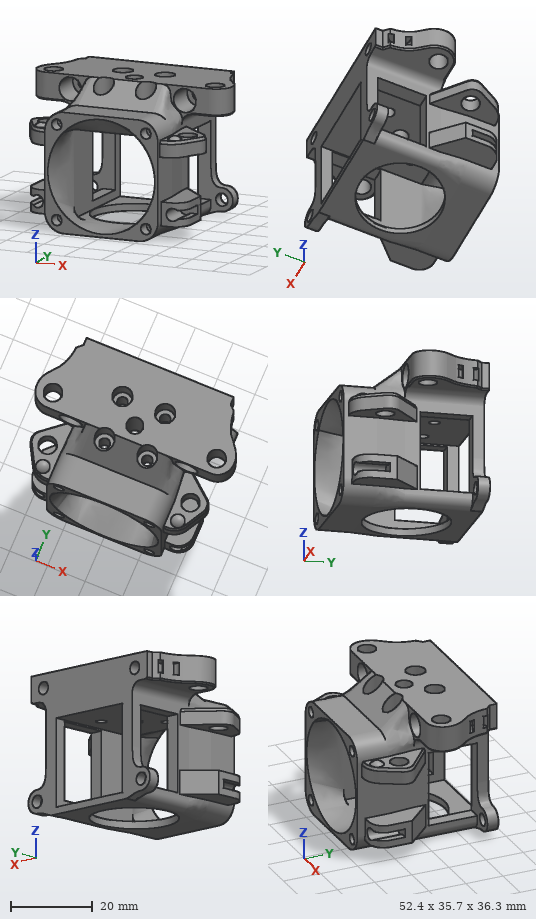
import cadquery as cq
import math


TOTAL_WIDTH = 52.37
TOTAL_DEPTH = 35.65
TOTAL_HEIGHT = 36.25

FAN_SIZE = 30.5
FAN_CENTER_Z = FAN_SIZE / 2
FAN_CORNER_RADIUS = 5.2
FAN_BORE_DIAMETER = 28.8
FLANGE_DEPTH = 8.4
FAN_SCREW_PITCH = 24.0
FAN_SCREW_MOUTH_DIAMETER = 2.7
FAN_SCREW_TIP_DIAMETER = 1.9
FAN_SCREW_STRAIGHT_DEPTH = 3.5
FAN_SCREW_TIP_DEPTH = 0.5

HOUSING_HALF_WIDTH = 14.6
HOUSING_BOTTOM_Z = 0.15
HOUSING_CORNER_RADIUS = 2.5
CHANNEL_HALF_WIDTH = 11.13
CHANNEL_FLOOR_Z = 1.97
CHANNEL_CEILING_Z = 24.4
THROAT_CORNER_RADIUS = 2.8
WINDOW_FRONT_Y = 19.5
WINDOW_BACK_Y = 32.65
WINDOW_BOTTOM_Z = 4.15
WINDOW_TOP_Z = 23.95
FLOOR_HOLE_DIAMETER = 22.0

PLATE_FRONT_Y = 15.55
PLATE_THICKNESS = 6.95
PLATE_BOTTOM_Z = TOTAL_HEIGHT - PLATE_THICKNESS
PLATE_EDGE_CHAMFER = 0.4
PLATE_CORNER_RADIUS = 4.3
PLATE_BACK_HALF_WIDTH = 19.55
PLATE_NOTCH_Y = 33.7
LUG_SHOULDER = (25.95, 21.7)
LUG_END = (25.05, 23.6)
WAIST_START = (22.8, 26.4)
WAIST_MIDDLE = (21.75, 28.5)
WAIST_END = (20.97, 32.35)
PLATE_FILLET = 2.6
LUG_HOLE_X = 21.75
HOLE_ROW_Y = 19.6
LUG_HOLE_DIAMETER = 4.6
CENTER_HOLE_DIAMETER = 4.2

SLOPE_HALF_WIDTH = 9.54
FLANK_POINTS = [(14.0, 29.6), (11.9, 31.9), (11.4, 34.8)]

TOP_SCREW_PITCH = 11.35
TOP_SCREW_DIAMETER = 2.7
TOP_SCREW_HEAD_DIAMETER = 5.0
TOP_SCREW_SEAT_Z = 31.0

REAR_SCREW_X = 15.4
REAR_SCREW_Z = 32.65
REAR_SCREW_DIAMETER = 3.2
REAR_SCREW_HEAD_DIAMETER = 6.0
REAR_SCREW_HEAD_DEPTH = 8.0

TIE_CENTER_X = 21.3
TIE_CENTER_Y = 29.9
TIE_INNER_RADIUS = 1.5
TIE_OUTER_RADIUS = 2.9
TIE_BOTTOM_Z = 31.15
TIE_WIDTH = 3.15

WING_BOTTOM_Z = 21.4
WING_TOP_Z = 25.55
WING_FRONT_Y = 1.2
WING_FRONT_X = 19.0
WING_TIP = (24.25, 10.6)
WING_BACK = (14.1, 19.0)
WING_CHAMFER_HEIGHT = 0.8
WING_CHAMFER_WIDTH = 0.35
WING_SIDE_RADIUS = 3.0
WING_FRONT_RADIUS = 5.0
WING_HOLE_X = 18.96
WING_HOLE_Y = 9.55
WING_HOLE_DIAMETER = 4.6
DOME_X = 17.93
DOME_Y = 4.06
DOME_DIAMETER = 3.5
DOME_HEIGHT = 0.87
DOME_ROOT = 0.5

BLOCK_BOTTOM_Z = 3.95
BLOCK_TOP_Z = 9.97
BLOCK_HALF_WIDTH = 21.3
BLOCK_FRONT_Y = 2.05
BLOCK_SHOULDER_Y = 12.0
BLOCK_CORNER_RADIUS = 4.0
KEYHOLE_X = 18.2
KEYHOLE_DIAMETER = 3.2
KEYHOLE_SLOT_HEIGHT = 2.2
KEYHOLE_END_Y = 10.15

EAR_X = 17.55
EAR_Z = 4.4
EAR_RADIUS = 3.0
EAR_HOLE_DIAMETER = 3.2
EAR_SWEEP_TOP_Z = 13.4
EAR_ROOT_X = 12.6
EAR_ROOT_SLOPE = 0.2

BURIED_X = 13.0


def prism_y(sketch, start_y, end_y):
    """Extrude an outline drawn on XZ between two y positions."""
    return sketch.extrude(-(end_y - start_y)).translate((0, start_y, 0))


def cylinder_y(diameter, x, z, start_y, end_y):
    outline = cq.Workplane("XZ").center(x, z).circle(diameter / 2)
    return prism_y(outline, start_y, end_y)


def cylinder_z(diameter, x, y, bottom_z, top_z):
    base = cq.Workplane("XY", origin=(x, y, bottom_z))
    return base.circle(diameter / 2).extrude(top_z - bottom_z)


def block(x_range, y_range, z_range):
    size = [end - start for start, end in (x_range, y_range, z_range)]
    return cq.Workplane("XY").box(*size, centered=False).translate(
        (x_range[0], y_range[0], z_range[0])
    )


def both_sides(right_half):
    return right_half.union(right_half.mirror("YZ"))


def ruled_loft(first_edges, second_edges):
    wires = [cq.Wire.assembleEdges(edges) for edges in (first_edges, second_edges)]
    return cq.Workplane(obj=cq.Solid.makeLoft(wires, True))


def line(start, end, y):
    return cq.Edge.makeLine(cq.Vector(start[0], y, start[1]), cq.Vector(end[0], y, end[1]))


def arc(center, radius, start_angle, end_angle, y):
    angles = (start_angle, (start_angle + end_angle) / 2, end_angle)
    points = [
        cq.Vector(
            center[0] + radius * math.cos(math.radians(angle)),
            y,
            center[1] + radius * math.sin(math.radians(angle)),
        )
        for angle in angles
    ]
    return cq.Edge.makeThreePointArc(*points)


def fan_flange():
    flange = prism_y(cq.Workplane("XZ").rect(FAN_SIZE, FAN_SIZE), 0, FLANGE_DEPTH)
    return flange.edges("|Y").fillet(FAN_CORNER_RADIUS).translate((0, 0, FAN_CENTER_Z))


def housing():
    body = block(
        (-HOUSING_HALF_WIDTH, HOUSING_HALF_WIDTH),
        (PLATE_FRONT_Y, TOTAL_DEPTH),
        (HOUSING_BOTTOM_Z, PLATE_BOTTOM_Z + PLATE_EDGE_CHAMFER),
    )
    body = body.edges("|Y and <Z").fillet(HOUSING_CORNER_RADIUS)
    outer_x = HOUSING_HALF_WIDTH + PLATE_FILLET
    inner_x = BURIED_X
    corner = (
        cq.Workplane("XZ")
        .moveTo(inner_x, PLATE_BOTTOM_Z - PLATE_FILLET)
        .lineTo(HOUSING_HALF_WIDTH, PLATE_BOTTOM_Z - PLATE_FILLET)
        .radiusArc((outer_x, PLATE_BOTTOM_Z), PLATE_FILLET)
        .lineTo(outer_x, PLATE_BOTTOM_Z + PLATE_EDGE_CHAMFER)
        .lineTo(inner_x, PLATE_BOTTOM_Z + PLATE_EDGE_CHAMFER)
        .close()
    )
    return body.union(both_sides(prism_y(corner, PLATE_FRONT_Y, TOTAL_DEPTH)))


def flank(side, y):
    """Edge of the transition where it leaves the plate, from the wall up to the top."""
    profile = [
        (HOUSING_HALF_WIDTH, PLATE_BOTTOM_Z - PLATE_FILLET),
        *FLANK_POINTS,
        (SLOPE_HALF_WIDTH, TOTAL_HEIGHT),
    ]
    points = [cq.Vector(side * x, y, z) for x, z in profile]
    if side < 0:
        points.reverse()
    return cq.Edge.makeSpline(points)


def transition():
    """Loft from the square flange to the narrower neck that meets the plate."""
    r = FAN_CORNER_RADIUS
    half = FAN_SIZE / 2
    inner = half - r
    low = r
    high = FAN_SIZE - r
    y0 = FLANGE_DEPTH
    front = [
        line((-inner, 0), (inner, 0), y0),
        arc((inner, low), r, -90, 0, y0),
        line((half, low), (half, high), y0),
        arc((inner, high), r, 0, 90, y0),
        line((inner, FAN_SIZE), (-inner, FAN_SIZE), y0),
        arc((-inner, high), r, 90, 180, y0),
        line((-half, high), (-half, low), y0),
        arc((-inner, low), r, 180, 270, y0),
    ]
    r = HOUSING_CORNER_RADIUS
    half = HOUSING_HALF_WIDTH
    inner = half - r
    base = HOUSING_BOTTOM_Z
    low = base + r
    neck_z = PLATE_BOTTOM_Z - PLATE_FILLET
    y1 = PLATE_FRONT_Y
    back = [
        line((-inner, base), (inner, base), y1),
        arc((inner, low), r, -90, 0, y1),
        line((half, low), (half, neck_z), y1),
        flank(1, y1),
        line((SLOPE_HALF_WIDTH, TOTAL_HEIGHT), (-SLOPE_HALF_WIDTH, TOTAL_HEIGHT), y1),
        flank(-1, y1),
        line((-half, neck_z), (-half, low), y1),
        arc((-inner, low), r, 180, 270, y1),
    ]
    return ruled_loft(front, back)


def mounting_plate():
    lug_x = TOTAL_WIDTH / 2
    corner_x = lug_x - PLATE_CORNER_RADIUS
    corner_y = PLATE_FRONT_Y + PLATE_CORNER_RADIUS
    half = (
        cq.Workplane("XY", origin=(0, 0, PLATE_BOTTOM_Z))
        .moveTo(0, PLATE_FRONT_Y)
        .lineTo(corner_x, PLATE_FRONT_Y)
        .radiusArc((lug_x, corner_y), -PLATE_CORNER_RADIUS)
        .threePointArc(LUG_SHOULDER, LUG_END)
        .lineTo(*WAIST_START)
        .threePointArc(WAIST_MIDDLE, WAIST_END)
        .lineTo(PLATE_BACK_HALF_WIDTH, PLATE_NOTCH_Y)
        .lineTo(PLATE_BACK_HALF_WIDTH, TOTAL_DEPTH)
        .lineTo(0, TOTAL_DEPTH)
        .close()
        .extrude(PLATE_THICKNESS)
    )
    return both_sides(half.faces("<Z").edges("not(<X or >Y)").chamfer(PLATE_EDGE_CHAMFER))


def rear_ears():
    web = (
        cq.Workplane("XZ")
        .moveTo(EAR_ROOT_X, EAR_SWEEP_TOP_Z)
        .lineTo(HOUSING_HALF_WIDTH, EAR_SWEEP_TOP_Z)
        .spline(
            [(EAR_X, EAR_Z + EAR_RADIUS)], tangents=[(0, -1), (1, 0)], includeCurrent=True
        )
        .lineTo(EAR_X, EAR_Z - EAR_RADIUS)
        .spline(
            [(EAR_ROOT_X, HOUSING_BOTTOM_Z)],
            tangents=[(-1, 0), (-1, -EAR_ROOT_SLOPE)],
            includeCurrent=True,
        )
        .close()
    )
    ear = prism_y(web, WINDOW_BACK_Y, TOTAL_DEPTH)
    ear = ear.union(cylinder_y(2 * EAR_RADIUS, EAR_X, EAR_Z, WINDOW_BACK_Y, TOTAL_DEPTH))
    return both_sides(ear)


def dome():
    """Spherical cap on a short stub that sinks into the wing."""
    radius = DOME_DIAMETER / 2
    sphere_radius = (radius**2 + DOME_HEIGHT**2) / (2 * DOME_HEIGHT)
    profile = (
        cq.Workplane("XZ")
        .moveTo(0, -DOME_ROOT)
        .lineTo(radius, -DOME_ROOT)
        .lineTo(radius, 0)
        .radiusArc((0, DOME_HEIGHT), -sphere_radius)
        .close()
    )
    return profile.revolve(360, (0, 0), (0, 1)).translate((DOME_X, DOME_Y, WING_TOP_Z))


def upper_wings():
    straight_height = WING_TOP_Z - WING_BOTTOM_Z - WING_CHAMFER_HEIGHT
    wing = (
        cq.Workplane("XY", origin=(0, 0, WING_BOTTOM_Z))
        .polyline([
            (BURIED_X, WING_FRONT_Y),
            (WING_FRONT_X, WING_FRONT_Y),
            WING_TIP,
            WING_BACK,
            (BURIED_X, WING_BACK[1]),
        ])
        .close()
        .extrude(straight_height)
    )
    wing = wing.edges("|Z and >X").fillet(WING_SIDE_RADIUS)
    front_corner = cq.selectors.NearestToPointSelector(
        (WING_FRONT_X, WING_FRONT_Y, WING_BOTTOM_Z + straight_height / 2)
    )
    wing = wing.edges("|Z").edges(front_corner).fillet(WING_FRONT_RADIUS)
    rim_taper = math.degrees(math.atan2(WING_CHAMFER_WIDTH, WING_CHAMFER_HEIGHT))
    wing = wing.faces(">Z").wires().toPending().extrude(WING_CHAMFER_HEIGHT, taper=rim_taper)
    wing = wing.union(dome())
    wing = wing.cut(
        cylinder_z(WING_HOLE_DIAMETER, WING_HOLE_X, WING_HOLE_Y, WING_BOTTOM_Z, WING_TOP_Z)
    )
    return both_sides(wing)


def lower_blocks():
    back_y = BLOCK_SHOULDER_Y + BLOCK_HALF_WIDTH - HOUSING_HALF_WIDTH
    ear = (
        cq.Workplane("XY", origin=(0, 0, BLOCK_BOTTOM_Z))
        .moveTo(BURIED_X, BLOCK_FRONT_Y)
        .lineTo(BLOCK_HALF_WIDTH - BLOCK_CORNER_RADIUS, BLOCK_FRONT_Y)
        .radiusArc((BLOCK_HALF_WIDTH, BLOCK_FRONT_Y + BLOCK_CORNER_RADIUS), -BLOCK_CORNER_RADIUS)
        .lineTo(BLOCK_HALF_WIDTH, BLOCK_SHOULDER_Y)
        .lineTo(HOUSING_HALF_WIDTH, back_y)
        .lineTo(BURIED_X, back_y)
        .close()
        .extrude(BLOCK_TOP_Z - BLOCK_BOTTOM_Z)
    )
    middle_z = (BLOCK_BOTTOM_Z + BLOCK_TOP_Z) / 2
    half_slot = KEYHOLE_SLOT_HEIGHT / 2
    ear = ear.cut(cylinder_y(KEYHOLE_DIAMETER, KEYHOLE_X, middle_z, BLOCK_FRONT_Y, KEYHOLE_END_Y))
    ear = ear.cut(
        block(
            (KEYHOLE_X, BLOCK_HALF_WIDTH),
            (BLOCK_FRONT_Y, KEYHOLE_END_Y),
            (middle_z - half_slot, middle_z + half_slot),
        )
    )
    return both_sides(ear)


def air_channel():
    """Round fan bore blending into the rectangular channel that runs out of the back."""
    radius = FAN_BORE_DIAMETER / 2
    center = (0, FAN_CENTER_Z)
    stops = [(-60, -30), (-30, 45), (45, 135), (135, 210), (210, 240), (240, 300)]
    mouth = [arc(center, radius, start, end, 0) for start, end in stops]
    r = THROAT_CORNER_RADIUS
    half = CHANNEL_HALF_WIDTH
    inner = half - r
    floor_z = CHANNEL_FLOOR_Z
    low = floor_z + r
    high = CHANNEL_CEILING_Z
    y = FLANGE_DEPTH
    throat = [
        arc((inner, low), r, -90, 0, y),
        line((half, low), (half, high), y),
        line((half, high), (-half, high), y),
        line((-half, high), (-half, low), y),
        arc((-inner, low), r, 180, 270, y),
        line((-inner, floor_z), (inner, floor_z), y),
    ]
    channel = block((-half, half), (FLANGE_DEPTH, TOTAL_DEPTH), (floor_z, high))
    return ruled_loft(mouth, throat).union(channel)


def side_windows():
    return block(
        (-HOUSING_HALF_WIDTH, HOUSING_HALF_WIDTH),
        (WINDOW_FRONT_Y, WINDOW_BACK_Y),
        (WINDOW_BOTTOM_Z, WINDOW_TOP_Z),
    )


def fan_screw_hole(x, z):
    """Blind hole with a tapered tip."""
    mouth_radius = FAN_SCREW_MOUTH_DIAMETER / 2
    tip_radius = FAN_SCREW_TIP_DIAMETER / 2
    end_y = FAN_SCREW_STRAIGHT_DEPTH + FAN_SCREW_TIP_DEPTH
    profile = (
        cq.Workplane("XY")
        .polyline([
            (0, 0),
            (mouth_radius, 0),
            (mouth_radius, FAN_SCREW_STRAIGHT_DEPTH),
            (tip_radius, end_y),
            (0, end_y),
        ])
        .close()
    )
    return profile.revolve(360, (0, 0), (0, 1)).translate((x, 0, z))


def cut_holes(body):
    half_pitch = FAN_SCREW_PITCH / 2
    for x in (-half_pitch, half_pitch):
        for z in (FAN_CENTER_Z - half_pitch, FAN_CENTER_Z + half_pitch):
            body = body.cut(fan_screw_hole(x, z))
    for x in (-TOP_SCREW_PITCH / 2, TOP_SCREW_PITCH / 2):
        for y in (HOLE_ROW_Y - TOP_SCREW_PITCH / 2, HOLE_ROW_Y + TOP_SCREW_PITCH / 2):
            body = body.cut(cylinder_z(TOP_SCREW_DIAMETER, x, y, CHANNEL_FLOOR_Z, TOTAL_HEIGHT))
            body = body.cut(
                cylinder_z(TOP_SCREW_HEAD_DIAMETER, x, y, TOP_SCREW_SEAT_Z, TOTAL_HEIGHT)
            )
    body = body.cut(cylinder_z(CENTER_HOLE_DIAMETER, 0, HOLE_ROW_Y, CHANNEL_FLOOR_Z, TOTAL_HEIGHT))
    body = body.cut(cylinder_z(FLOOR_HOLE_DIAMETER, 0, HOLE_ROW_Y, 0, WINDOW_BOTTOM_Z))
    head_end_y = PLATE_FRONT_Y + REAR_SCREW_HEAD_DEPTH
    for side in (-1, 1):
        screw_x = side * REAR_SCREW_X
        ear_x = side * EAR_X
        body = body.cut(
            cylinder_z(LUG_HOLE_DIAMETER, side * LUG_HOLE_X, HOLE_ROW_Y, PLATE_BOTTOM_Z, TOTAL_HEIGHT)
        )
        body = body.cut(
            cylinder_y(REAR_SCREW_DIAMETER, screw_x, REAR_SCREW_Z, FLANGE_DEPTH, TOTAL_DEPTH)
        )
        body = body.cut(
            cylinder_y(REAR_SCREW_HEAD_DIAMETER, screw_x, REAR_SCREW_Z, FLANGE_DEPTH, head_end_y)
        )
        body = body.cut(cylinder_y(EAR_HOLE_DIAMETER, ear_x, EAR_Z, WINDOW_BACK_Y, TOTAL_DEPTH))
    return body


def tie_slots():
    ring = (
        cq.Workplane("XY", origin=(TIE_CENTER_X, TIE_CENTER_Y, TIE_BOTTOM_Z))
        .circle(TIE_OUTER_RADIUS)
        .circle(TIE_INNER_RADIUS)
        .extrude(TIE_WIDTH)
    )
    return both_sides(ring)


body = housing().union(transition()).union(fan_flange()).union(mounting_plate())
body = body.union(rear_ears()).union(upper_wings()).union(lower_blocks())
body = body.cut(air_channel()).cut(side_windows()).cut(tie_slots())
result = cut_holes(body)